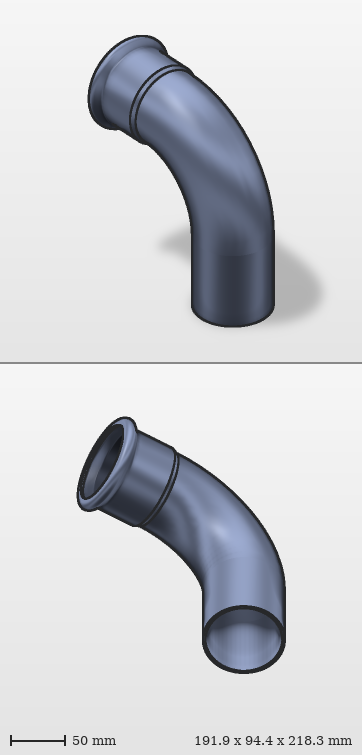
import cadquery as cq
import math

total_length = 191.9
total_height = 218.3
wall = 2.5
pipe_radius = 38.0
socket_radius = 40.4
bead_radius = 47.2
bead_round = 5.5
mouth_radius = 37.8
bead_slope = math.radians(45)
outer_flank_fillet = 3.0
inner_flank_fillet = 2.2
taper_start = 54.5
taper_end = 59.8
bend_start = 60.7

socket_axis_z = total_height - bead_radius
spigot_axis_x = total_length - pipe_radius
bend_radius = spigot_axis_x - bend_start
spigot_length = socket_axis_z - bend_radius
bead_center_radius = bead_radius - bead_round
bead_crest = math.pi / 2


def arc_point(center, radius, angle):
    """Point on a circle in (axial, radial) coordinates."""
    return (center[0] + radius * math.cos(angle), center[1] + radius * math.sin(angle))


def revolve_profile(outline):
    """Revolve an (axial, radial) outline about the socket axis."""
    solid = outline.close().revolve(360, (0, 0, 0), (1, 0, 0))
    return solid.translate((0, 0, socket_axis_z))


def socket_body(inset, fillet_radius):
    """Solid bounded by the socket surface, offset inward by inset."""
    round_radius = bead_round - inset
    bead_center = (bead_round, bead_center_radius)
    flank_normal = math.pi / 2 - bead_slope
    flank_start = arc_point(bead_center, round_radius, flank_normal)

    fillet_end_radius = socket_radius - inset
    fillet_start_radius = fillet_end_radius + fillet_radius * (1 - math.cos(bead_slope))
    flank_run = (flank_start[1] - fillet_start_radius) / math.tan(bead_slope)
    fillet_start = (flank_start[0] + flank_run, fillet_start_radius)
    fillet_center = (
        fillet_start[0] + fillet_radius * math.sin(bead_slope),
        fillet_end_radius + fillet_radius,
    )
    fillet_middle = arc_point(fillet_center, fillet_radius, -math.pi / 2 - bead_slope / 2)

    outline = (
        cq.Workplane("XY")
        .moveTo(inset, 0)
        .lineTo(inset, bead_center_radius)
        .threePointArc(arc_point(bead_center, round_radius, bead_crest), flank_start)
        .lineTo(*fillet_start)
        .threePointArc(fillet_middle, (fillet_center[0], fillet_end_radius))
        .lineTo(taper_start, fillet_end_radius)
        .lineTo(taper_end, pipe_radius - inset)
        .lineTo(bend_start, pipe_radius - inset)
        .lineTo(bend_start, 0)
    )
    return revolve_profile(outline)


def pipe_body(radius):
    """Solid quarter bend and straight spigot of the given radius."""
    spigot = cq.Workplane("XY").center(spigot_axis_x, 0).circle(radius).extrude(spigot_length)
    bend = (
        cq.Workplane("XY", origin=(spigot_axis_x, 0, spigot_length))
        .circle(radius)
        .revolve(90, (-bend_radius, 0, 0), (-bend_radius, -1, 0))
    )
    return spigot.union(bend)


mouth = cq.Workplane("YZ", origin=(0, 0, socket_axis_z)).circle(mouth_radius).extrude(bead_round)

socket = socket_body(0, outer_flank_fillet).cut(socket_body(wall, inner_flank_fillet)).cut(mouth)
pipe = pipe_body(pipe_radius).cut(pipe_body(pipe_radius - wall))
result = socket.union(pipe)